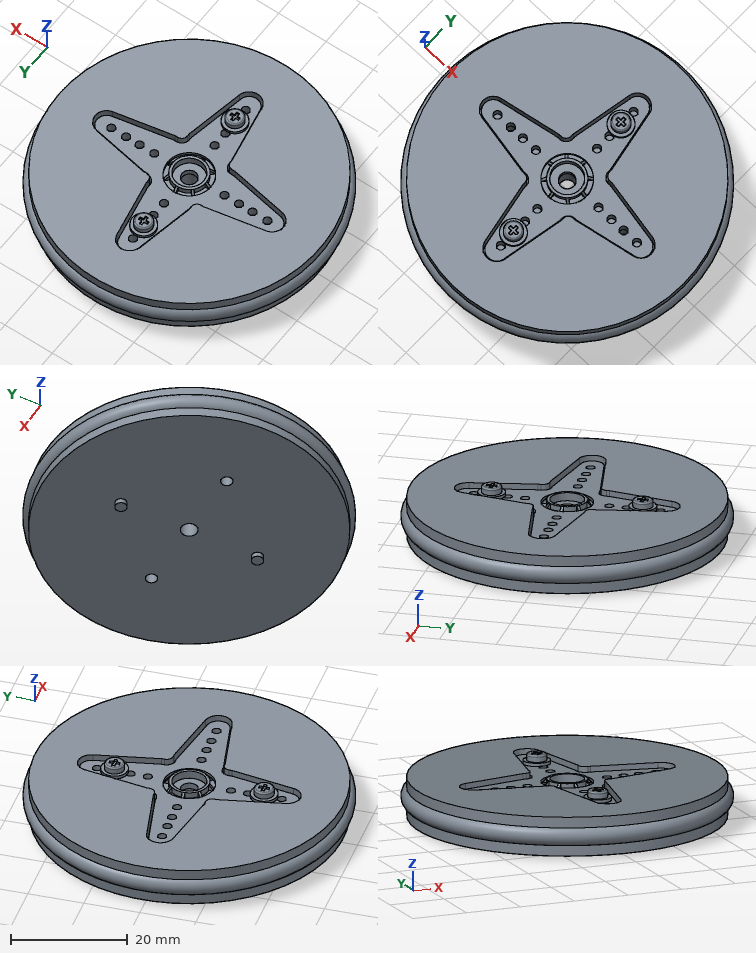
import cadquery as cq
import math


wheel_diameter = 55.0
wheel_height = 6.9
tyre_outer_diameter = 57.0
tyre_section_diameter = 3.4

horn_sink = 0.9
horn_thickness = 2.1
horn_clearance = 0.35
arm_count = 4
arm_tip_radius = 2.05
arm_tip_centre = 17.45
arm_root_half_width = 4.2
arm_root_end = 6.25
arm_corner_radius = 1.55

arm_hole_diameter = 1.55
screw_distance = 13.35
arm_hole_distances = (7.4, 10.5, screw_distance, 16.5)

groove_diameter = 9.0
groove_depth = 0.55
collar_diameter = 7.05
collar_rise = 0.5
hub_bore_diameter = 6.0
hub_bore_depth = 1.5
axle_hole_diameter = 3.0
rib_count = 8
rib_width = 0.5

screw_shank_diameter = 2.1
screw_flange_diameter = 4.8
screw_flange_height = 0.55
screw_head_diameter = 3.5
screw_head_rise = 0.85
screw_head_rounding = 0.3
screw_tip_drop = 0.95
recess_length = 1.8
recess_width = 0.5
recess_depth = 0.4

horn_top = wheel_height - horn_sink
horn_bottom = horn_top - horn_thickness
groove_floor = horn_top - groove_depth
collar_top = horn_top + collar_rise
screw_top = wheel_height + screw_head_rise
arm_angles = [i * 360 / arm_count for i in range(arm_count)]
screw_angles = (90, 270)


def polar_point(distance, angle):
    """Point in the XY plane at a distance from the axis and an angle in degrees."""
    radians = math.radians(angle)
    return (distance * math.cos(radians), distance * math.sin(radians))


def cylinder(diameter, bottom, top):
    """Upright cylinder on the Z axis between two levels."""
    return cq.Workplane("XY").workplane(offset=bottom).circle(diameter / 2).extrude(top - bottom)


def make_tyre():
    """Ring of circular section around the rim of the wheel, at mid-height."""
    ring_radius = (tyre_outer_diameter - tyre_section_diameter) / 2
    section = cq.Workplane("XZ").center(ring_radius, wheel_height / 2).circle(tyre_section_diameter / 2)
    return section.revolve(360, (-ring_radius, 0, 0), (-ring_radius, 1, 0))


def arm_blank(thickness):
    """One arm along +X: a parallel root, then sides that taper tangentially into a round tip."""
    taper_run = arm_tip_centre - arm_root_end
    centre_angle = math.atan2(arm_root_half_width, taper_run)
    taper = centre_angle - math.asin(arm_tip_radius / math.hypot(taper_run, arm_root_half_width))
    tangent_x = arm_tip_centre + arm_tip_radius * math.sin(taper)
    tangent_y = arm_tip_radius * math.cos(taper)
    return (
        cq.Workplane("XY")
        .workplane(offset=horn_bottom)
        .moveTo(0, -arm_root_half_width)
        .lineTo(arm_root_end, -arm_root_half_width)
        .lineTo(tangent_x, -tangent_y)
        .threePointArc((arm_tip_centre + arm_tip_radius, 0), (tangent_x, tangent_y))
        .lineTo(arm_root_end, arm_root_half_width)
        .lineTo(0, arm_root_half_width)
        .close()
        .extrude(thickness)
    )


def cross_blank(thickness):
    """Plain cross of all the arms, with the corners between them rounded."""
    blank = arm_blank(thickness)
    for angle in arm_angles[1:]:
        blank = blank.union(arm_blank(thickness).rotate((0, 0, 0), (0, 0, 1), angle))
    reach = (arm_root_half_width + arm_root_end) / 2
    corner_zone = cq.selectors.BoxSelector(
        (-reach, -reach, horn_bottom), (reach, reach, horn_bottom + thickness)
    )
    return blank.clean().edges("|Z").edges(corner_zone).fillet(arm_corner_radius)


def make_pocket():
    """Space for the horn in the wheel: the cross grown sideways, open at the wheel's top."""
    outline = cross_blank(horn_thickness).faces("<Z").wires().val()
    pocket_wire = outline.offset2D(horn_clearance, "intersection")[0]
    return cq.Workplane("XY").add(pocket_wire).toPending().extrude(wheel_height - horn_bottom)


def make_wheel(tyre):
    """Disc with a rim groove for the tyre, the horn pocket, an axle hole and a screw hole per arm."""
    wheel = cylinder(wheel_diameter, 0, wheel_height).cut(tyre).cut(make_pocket())
    wheel = wheel.cut(cylinder(axle_hole_diameter, 0, wheel_height))
    for angle in arm_angles:
        screw_hole = cylinder(screw_shank_diameter, 0, wheel_height)
        wheel = wheel.cut(screw_hole.translate(polar_point(screw_distance, angle) + (0,)))
    return wheel


def make_rib():
    """Rib along +X from the collar's top edge down to the outer edge of the groove floor."""
    collar_radius = collar_diameter / 2
    groove_radius = groove_diameter / 2
    root_radius = (collar_radius + hub_bore_diameter / 2) / 2
    return (
        cq.Workplane("XZ")
        .moveTo(root_radius, groove_floor)
        .lineTo(groove_radius, groove_floor)
        .lineTo(collar_radius, collar_top)
        .lineTo(root_radius, collar_top)
        .close()
        .extrude(rib_width / 2, both=True)
    )


def make_horn():
    """Cross-shaped horn with its hub and the holes along its arms."""
    horn = cross_blank(horn_thickness)
    horn = horn.cut(cylinder(groove_diameter, groove_floor, horn_top))
    horn = horn.union(cylinder(collar_diameter, groove_floor, collar_top))
    for i in range(rib_count):
        horn = horn.union(make_rib().rotate((0, 0, 0), (0, 0, 1), i * 360 / rib_count))
    horn = horn.cut(cylinder(hub_bore_diameter, collar_top - hub_bore_depth, collar_top))
    horn = horn.cut(cylinder(axle_hole_diameter, horn_bottom, collar_top))
    for angle in arm_angles:
        for distance in arm_hole_distances:
            holds_screw = angle in screw_angles and distance == screw_distance
            diameter = screw_shank_diameter if holds_screw else arm_hole_diameter
            hole = cylinder(diameter, horn_bottom, horn_top)
            horn = horn.cut(hole.translate(polar_point(distance, angle) + (0,)))
    return horn


def make_screw(angle):
    """Screw through the horn and the wheel, on the arm at the given angle."""
    shank = cylinder(screw_shank_diameter, -screw_tip_drop, horn_top)
    flange = cylinder(screw_flange_diameter, horn_top, horn_top + screw_flange_height)
    head = cylinder(screw_head_diameter, horn_top, screw_top).faces(">Z").edges().fillet(screw_head_rounding)
    screw = shank.union(flange).union(head)
    for length_x, length_y in ((recess_length, recess_width), (recess_width, recess_length)):
        slot = cq.Workplane("XY").workplane(offset=screw_top).rect(length_x, length_y).extrude(-recess_depth)
        screw = screw.cut(slot)
    return screw.translate(polar_point(screw_distance, angle) + (0,))


tyre = make_tyre()
wheel = make_wheel(tyre)
horn = make_horn()
screws = [make_screw(angle) for angle in screw_angles]

result = cq.Compound.makeCompound([wheel.val(), tyre.val(), horn.val(), *[screw.val() for screw in screws]])